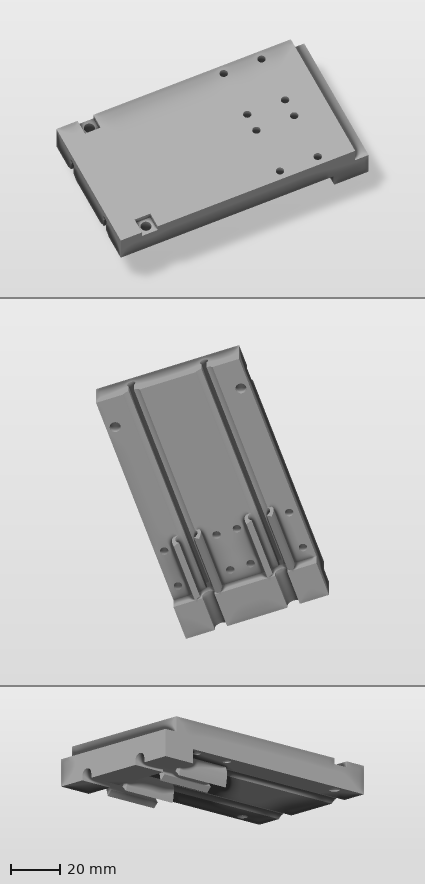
import cadquery as cq
import math


width = 61.23
length = 110.75
plate_thickness = 12.0
foot_drop = 6.0
foot_length = 15.4
step_length = 6.0
step_depth = 6.5

clip_offset = 15.55
clip_bore_radius = 4.75
clip_outer_radius = 6.2
clip_center_z = -3.0
clip_length = 26.0
clip_foot_gap = 1.35
clip_tip_x = 5.4
clip_tip_z = -8.67
jaw_bulge = 0.2
clip_root_overlap = 1.0

keyhole_diameter = 3.5
keyhole_center_z = 7.0
keyhole_slot_width = 2.2
keyhole_slot_floor_z = 2.15
keyhole_overrun = 1.0

passage_width = 5.2
passage_top_z = -1.5

screw_hole_diameter = 3.4
screw_hole_spacing_x = 22.4
screw_hole_spacing_y = 16.9
rear_screw_hole_inset = 20.9

mount_hole_diameter = 4.5
mount_hole_inset = 3.7
mount_hole_y = 13.0
mount_pocket_size = 7.0
mount_pocket_depth = 2.5

foot_front_y = length - foot_length
clip_rear_y = foot_front_y - clip_foot_gap
clip_centers = (-clip_offset, clip_offset)


def extrude_along_y(sketch, start_y, end_y):
    """Extrude an XZ-plane outline between two Y positions."""
    return sketch.extrude(start_y - end_y).translate((0, start_y, 0))


def make_body():
    """Plate, foot and rear step as one side outline."""
    step_z = plate_thickness - step_depth
    outline = [
        (0, 0),
        (foot_front_y, 0),
        (foot_front_y, -foot_drop),
        (length, -foot_drop),
        (length, step_z),
        (length - step_length, step_z),
        (length - step_length, plate_thickness),
        (0, plate_thickness),
    ]
    return cq.Workplane("YZ").polyline(outline).close().extrude(width / 2, both=True)


def make_bore(center_x):
    """Round groove shared by the plate underside and the clip."""
    circle = cq.Workplane("XZ").center(center_x, clip_center_z).circle(clip_bore_radius)
    return extrude_along_y(circle, 0, foot_front_y)


def make_clip(center_x):
    """Solid clip: each side bulges out, narrows to a tip and leads back in at 45 degrees."""
    def point(x, z):
        return (center_x + x, z)

    root_x = math.sqrt(clip_outer_radius**2 - clip_center_z**2)
    half_angle = math.atan2(-clip_center_z, root_x) / 2
    upper_x = clip_outer_radius * math.cos(half_angle)
    upper_z = clip_center_z + clip_outer_radius * math.sin(half_angle)
    lower_x = (clip_outer_radius + clip_tip_x) / 2 + jaw_bulge
    lower_z = (clip_center_z + clip_tip_z) / 2
    lead_in_apex_z = clip_tip_z + clip_tip_x

    outline = (
        cq.Workplane("XZ")
        .moveTo(*point(-root_x, clip_root_overlap))
        .lineTo(*point(root_x, clip_root_overlap))
        .lineTo(*point(root_x, 0))
        .threePointArc(point(upper_x, upper_z), point(clip_outer_radius, clip_center_z))
        .threePointArc(point(lower_x, lower_z), point(clip_tip_x, clip_tip_z))
        .lineTo(*point(0, lead_in_apex_z))
        .lineTo(*point(-clip_tip_x, clip_tip_z))
        .threePointArc(point(-lower_x, lower_z), point(-clip_outer_radius, clip_center_z))
        .threePointArc(point(-upper_x, upper_z), point(-root_x, 0))
        .close()
    )
    return extrude_along_y(outline, clip_rear_y - clip_length, clip_rear_y)


def make_keyhole(center_x):
    """Keyhole relief that opens into the bore and ends just behind it."""
    end_y = foot_front_y + keyhole_overrun
    circle = cq.Workplane("XZ").center(center_x, keyhole_center_z).circle(keyhole_diameter / 2)

    def slot(floor_z, slot_end_y):
        height = keyhole_center_z - floor_z
        middle_z = floor_z + height / 2
        outline = cq.Workplane("XZ").center(center_x, middle_z).rect(keyhole_slot_width, height)
        return extrude_along_y(outline, 0, slot_end_y)

    return (
        extrude_along_y(circle, 0, end_y)
        .union(slot(keyhole_slot_floor_z, end_y))
        .union(slot(clip_center_z, foot_front_y))
    )


def make_passage(center_x):
    """Round-topped channel through the foot, open at its underside."""
    radius = passage_width / 2
    spring_z = passage_top_z - radius
    outline = (
        cq.Workplane("XZ")
        .moveTo(center_x - radius, -foot_drop)
        .lineTo(center_x - radius, spring_z)
        .threePointArc((center_x, passage_top_z), (center_x + radius, spring_z))
        .lineTo(center_x + radius, -foot_drop)
        .close()
    )
    return extrude_along_y(outline, clip_rear_y, length)


def make_screw_holes():
    """Four through holes around each clip."""
    rear_y = length - rear_screw_hole_inset
    points = [
        (center_x + side * screw_hole_spacing_x / 2, y)
        for center_x in clip_centers
        for side in (-1, 1)
        for y in (rear_y, rear_y - screw_hole_spacing_y)
    ]
    return cq.Workplane("XY").pushPoints(points).circle(screw_hole_diameter / 2).extrude(plate_thickness)


def make_mount(side):
    """Through hole and the square pocket open to the side of the plate."""
    hole_x = side * (width / 2 - mount_hole_inset)
    pocket_x = side * (width - mount_pocket_size) / 2
    hole = cq.Workplane("XY").center(hole_x, mount_hole_y).circle(mount_hole_diameter / 2)
    pocket = (
        cq.Workplane("XY", origin=(pocket_x, mount_hole_y, plate_thickness))
        .rect(mount_pocket_size, mount_pocket_size)
        .extrude(-mount_pocket_depth)
    )
    return hole.extrude(plate_thickness).union(pocket)


result = make_body()
for clip_x in clip_centers:
    result = result.union(make_clip(clip_x))
    result = result.cut(make_bore(clip_x))
    result = result.cut(make_keyhole(clip_x))
    result = result.cut(make_passage(clip_x))
result = result.cut(make_screw_holes())
for mount_side in (-1, 1):
    result = result.cut(make_mount(mount_side))